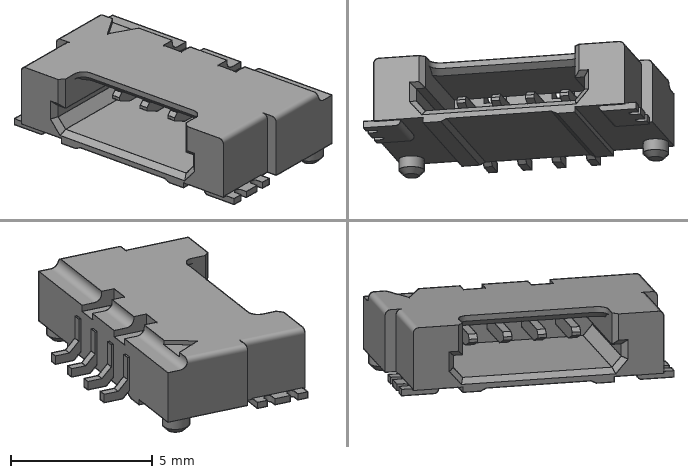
import cadquery as cq
import math


width = 9.95
depth = 5.68
height = 2.5
standoff = 0.2
front_width = 9.15
front_depth = 2.5
top_edge_radius = 0.2
rear_ledge_drop = 0.38
rear_ledge_depth = 0.49
rear_ledge_radius = 0.3

cavity_depth = 4.4
cavity_floor = 0.5
cavity_ceiling = 2.08
shoulder_height = 1.33
lower_half_width = 3.06
upper_half_width = 2.73
bevel_top = 0.89
mouth_chamfer = 0.2

opening_depth = 1.11
opening_radius = 0.4
roof_edge_chamfer = 0.21

slot_width = 0.81
slot_spacing = 2.48
slot_floor = 1.88

mark_center = -3.75
mark_width = 1.21
mark_base_y = 4.92
mark_length = 1.05
mark_recess = 0.16

foot_width = 5.53
foot_relief_height = 0.1
foot_relief_width = 3.82
foot_relief_flare = 0.21

peg_offset = 4.46
peg_y = 5.08
peg_size_x = 0.91
peg_size_y = 0.99
peg_length = 0.4
peg_chamfer = 0.2

tab_inner_x = 3.62
tab_thickness = 0.24
tab_start_y = 0.1
tab_length = 2.01
tab_edge_radius = 0.17
tab_notch_spacing = 0.92
tab_notch_width = 0.3
tab_notch_depth = 0.38

pin_count = 4
pin_pitch = 1.25
pin_width = 0.31
pin_tip_y = 1.99
blade_bottom = 0.99
blade_top = 1.5
blade_tip_bottom = 1.23
blade_lead_in = 0.57
blade_tip_chamfer = 0.15
lead_length = 1.01
lead_thickness = 0.33
lead_step = 0.08
lead_top = 1.56
lead_bend_height = 0.71
lead_heel_height = 0.28

pin_anchor_y = cavity_depth + (depth - cavity_depth) / 2


def box(x_min, x_max, y_min, y_max, z_min, z_max):
    size = (x_max - x_min, y_max - y_min, z_max - z_min)
    return cq.Workplane("XY").box(*size, centered=False).translate((x_min, y_min, z_min))


def centered_box(x_size, y_min, y_max, z_min, z_max, x_center=0.0):
    return box(x_center - x_size / 2, x_center + x_size / 2, y_min, y_max, z_min, z_max)


def make_housing():
    rear = centered_box(width, front_depth, depth, standoff, height)
    front = centered_box(front_width, 0, front_depth, standoff, height)
    rear = rear.edges("|Y and >Z").fillet(top_edge_radius)
    front = front.edges("|Y and >Z").fillet(top_edge_radius)
    return rear.union(front)


def make_rear_ledge_cut():
    ledge_z = height - rear_ledge_drop
    ledge_start = depth - rear_ledge_depth - rear_ledge_radius
    ledge = centered_box(width, ledge_start, depth, ledge_z, height)
    return ledge.edges("|X and <Y and <Z").fillet(rear_ledge_radius)


def cavity_outline(y, top, growth):
    """Cavity cross-section at depth y, with all its walls moved outward by growth."""
    bevel_angle = math.atan2(bevel_top - cavity_floor, lower_half_width - upper_half_width)
    floor_corner_shift = growth * math.tan(bevel_angle / 2)
    side_corner_shift = growth * math.tan((math.pi / 2 - bevel_angle) / 2)
    right_side = [
        (upper_half_width + floor_corner_shift, cavity_floor - growth),
        (lower_half_width + growth, bevel_top - side_corner_shift),
        (lower_half_width + growth, shoulder_height + growth),
        (upper_half_width + growth, shoulder_height + growth),
        (upper_half_width + growth, top),
    ]
    left_side = [(-x, z) for x, z in reversed(right_side)]
    plane = cq.Workplane("XZ", origin=(0, y, 0))
    return plane.polyline(right_side + left_side).close()


def make_cavity_cut():
    cavity = cavity_outline(0, cavity_ceiling, 0).extrude(-cavity_depth)
    rim = cavity_outline(0, height, mouth_chamfer).wires().val()
    throat = cavity_outline(mouth_chamfer, height, 0).wires().val()
    mouth = cq.Workplane(cq.Solid.makeLoft([rim, throat], True))
    return cavity.union(mouth)


def opening_outline(z):
    length = 2 * opening_depth
    sketch = cq.Sketch().rect(2 * upper_half_width, length).vertices().fillet(opening_radius)
    return cq.Workplane("XY", origin=(0, 0, z)).placeSketch(sketch)


def make_roof_opening_cut():
    opening = opening_outline(shoulder_height).extrude(height - shoulder_height)
    chamfer_top = cavity_ceiling + roof_edge_chamfer
    flare = opening_outline(chamfer_top).extrude(-roof_edge_chamfer, taper=-45)
    between_walls = centered_box(
        2 * upper_half_width, 0, cavity_depth, shoulder_height, height
    )
    return opening.union(flare).intersect(between_walls)


def make_latch_slot_cuts():
    cuts = cq.Workplane("XY")
    for side in (-1, 1):
        x_center = side * slot_spacing / 2
        cuts = cuts.union(
            centered_box(slot_width, cavity_depth, depth, slot_floor, height, x_center)
        )
    return cuts


def make_pin_one_mark_cut():
    corners = [
        (mark_center - mark_width / 2, mark_base_y),
        (mark_center + mark_width / 2, mark_base_y),
        (mark_center, mark_base_y - mark_length),
    ]
    plane = cq.Workplane("XY", origin=(0, 0, height - mark_recess))
    return plane.polyline(corners).close().extrude(mark_recess)


def make_foot():
    foot = centered_box(foot_width, 0, depth, 0, standoff)
    top_half = foot_relief_width / 2
    bottom_half = top_half + foot_relief_flare
    corners = [
        (-bottom_half, 0),
        (bottom_half, 0),
        (top_half, foot_relief_height),
        (-top_half, foot_relief_height),
    ]
    relief = cq.Workplane("XZ").polyline(corners).close().extrude(-depth)
    return foot.cut(relief)


def make_peg():
    plane = cq.Workplane("XY", origin=(peg_offset, peg_y, -peg_length))
    peg = plane.ellipse(peg_size_x / 2, peg_size_y / 2).extrude(peg_length + standoff)
    return peg.faces("<Z").edges().chamfer(peg_chamfer)


def make_solder_tab():
    tab_end_y = tab_start_y + tab_length
    outer_x = width / 2
    tab = box(tab_inner_x, outer_x, tab_start_y, tab_end_y, 0, tab_thickness)
    tab = tab.edges("|Y and <X and <Z").fillet(tab_edge_radius)
    notches = (
        cq.Workplane("XY", origin=(outer_x, tab_start_y + tab_length / 2, 0))
        .rarray(0.1, tab_notch_spacing, 1, 2)
        .slot2D(2 * tab_notch_depth, tab_notch_width)
        .extrude(tab_thickness)
    )
    return tab.cut(notches)


def extrude_pin_profile(points):
    profile = cq.Workplane("YZ").polyline(points).close()
    return profile.extrude(pin_width / 2, both=True)


def make_pin():
    blade = extrude_pin_profile([
        (pin_anchor_y, blade_bottom),
        (pin_tip_y + blade_lead_in, blade_bottom),
        (pin_tip_y, blade_tip_bottom),
        (pin_tip_y, blade_top - blade_tip_chamfer),
        (pin_tip_y + blade_tip_chamfer, blade_top),
        (pin_anchor_y, blade_top),
    ])
    leg_y = depth + lead_step
    bend_y = leg_y + lead_bend_height - lead_thickness
    lead = extrude_pin_profile([
        (pin_anchor_y, lead_top),
        (leg_y, lead_top),
        (leg_y, lead_bend_height),
        (bend_y, lead_thickness),
        (depth + lead_length, lead_thickness),
        (depth + lead_length, 0),
        (depth + lead_heel_height, 0),
        (depth, lead_heel_height),
        (pin_anchor_y, lead_heel_height),
    ])
    return blade.union(lead)


housing = (
    make_housing()
    .cut(make_rear_ledge_cut())
    .cut(make_cavity_cut())
    .cut(make_roof_opening_cut())
    .cut(make_latch_slot_cuts())
    .cut(make_pin_one_mark_cut())
    .union(make_foot())
)

for side_part in (make_peg(), make_solder_tab()):
    housing = housing.union(side_part).union(side_part.mirror("YZ"))

pin = make_pin()
for index in range(pin_count):
    pin_x = (index - (pin_count - 1) / 2) * pin_pitch
    housing = housing.union(pin.translate((pin_x, 0, 0)))

result = housing